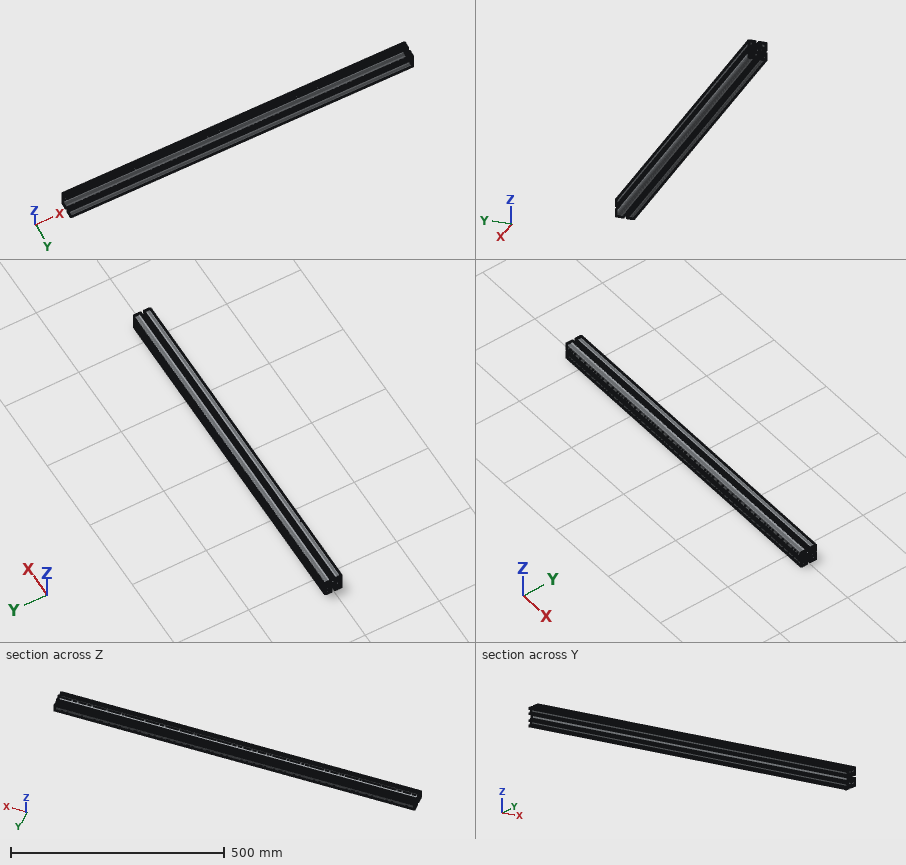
import cadquery as cq

LENGTH = 900.0
SIDE = 45.0
CORNER_RADIUS = 2.5

SLOT_COUNT = 4
SLOT_OPENING = 9.0
SLOT_WIDTH = 15.0
LIP_THICKNESS = 4.0
FLOOR_OFFSET = 7.0
FLOOR_CHAMFER = 3.0

WALL_THICKNESS = 2.0
POCKET_SIDE = 12.0
POCKET_RADIUS = 4.5
BORE_DIAMETER = 10.0

HALF_SIDE = SIDE / 2
POCKET_CENTER = HALF_SIDE - WALL_THICKNESS - POCKET_SIDE / 2


def section_plane():
    """Cross-section plane at the -X end; its local axes are Y and Z."""
    return cq.Workplane("YZ", origin=(-LENGTH / 2, 0, 0))


def square_bar():
    return section_plane().rect(SIDE, SIDE).extrude(LENGTH).edges("|X").fillet(CORNER_RADIUS)


def t_slot(angle):
    """Cutter for the slot on the +Z side, turned about the X axis."""
    half_opening = SLOT_OPENING / 2
    half_width = SLOT_WIDTH / 2
    lip_bottom = HALF_SIDE - LIP_THICKNESS
    right_half = [
        (half_width - FLOOR_CHAMFER, FLOOR_OFFSET),
        (half_width, FLOOR_OFFSET + FLOOR_CHAMFER),
        (half_width, lip_bottom),
        (half_opening, lip_bottom),
        (half_opening, HALF_SIDE),
    ]
    left_half = [(-y, z) for y, z in reversed(right_half)]
    cutter = section_plane().polyline(right_half + left_half).close().extrude(LENGTH)
    return cutter.rotate((0, 0, 0), (1, 0, 0), angle)


def corner_pockets():
    spacing = 2 * POCKET_CENTER
    return (
        section_plane()
        .rarray(spacing, spacing, 2, 2)
        .rect(POCKET_SIDE, POCKET_SIDE)
        .extrude(LENGTH)
        .edges("|X")
        .fillet(POCKET_RADIUS)
    )


def center_bore():
    return section_plane().circle(BORE_DIAMETER / 2).extrude(LENGTH)


result = square_bar()
for slot in range(SLOT_COUNT):
    result = result.cut(t_slot(slot * 360 / SLOT_COUNT))
result = result.cut(corner_pockets()).cut(center_bore())